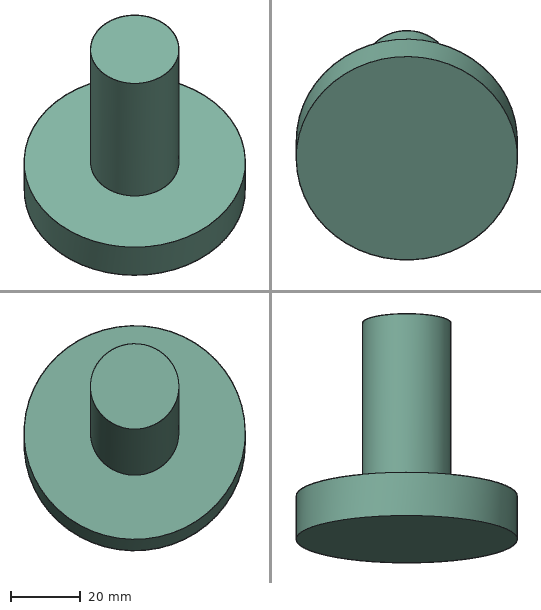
import cadquery as cq

flange_diameter = 63.5
flange_thickness = 12.7
stem_diameter = 25.4
total_height = 63.5

stem_length = total_height - flange_thickness

flange = cq.Workplane("XY").circle(flange_diameter / 2).extrude(flange_thickness)

result = flange.faces(">Z").workplane().circle(stem_diameter / 2).extrude(stem_length)